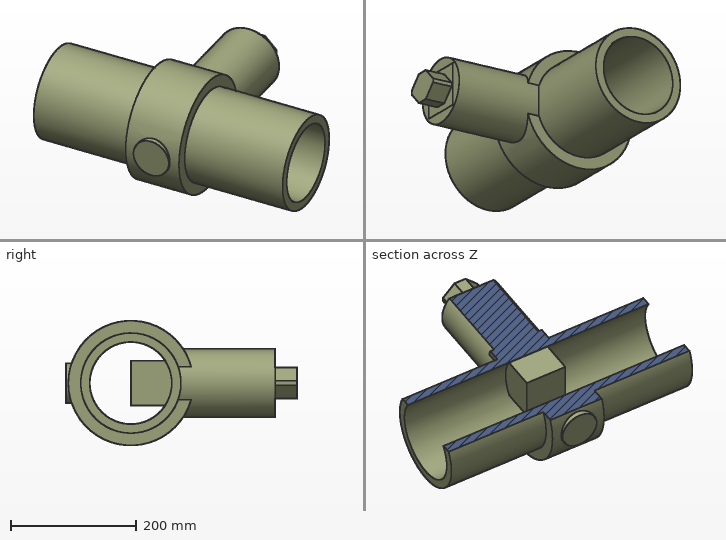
import cadquery as cq

pipe_length = 450.0
pipe_diameter = 160.0
bore_diameter = 131.0

collar_diameter = 200.0
collar_width = 96.5

branch_diameter = 110.0
branch_reach = 231.0
boss_diameter = 64.0
boss_reach = 104.0

bar_side = 72.0
head_width = boss_diameter
head_height = 50.0
head_chamfer = 21.5
head_reach = 266.0


def cylinder_along_x(diameter, length):
    """Cylinder on the X axis, centred on the origin."""
    return cq.Workplane("YZ").circle(diameter / 2).extrude(length / 2, both=True)


def cylinder_along_y(diameter, end):
    """Cylinder on the Y axis, from the origin to y = end."""
    return cq.Workplane("XZ").circle(diameter / 2).extrude(-end)


def make_bar():
    """Square bar from the pipe axis to the end of the branch."""
    return cq.Workplane("XZ").rect(bar_side, bar_side).extrude(-branch_reach)


def make_housing():
    """Pipe, collar, branch and boss, with the bore and the stem passage cut."""
    housing = cylinder_along_x(pipe_diameter, pipe_length)
    housing = housing.union(cylinder_along_x(collar_diameter, collar_width))
    housing = housing.union(cylinder_along_y(branch_diameter, branch_reach))
    housing = housing.union(cylinder_along_y(boss_diameter, -boss_reach))
    housing = housing.cut(cylinder_along_x(bore_diameter, pipe_length))
    return housing.cut(make_bar())


def make_stem():
    """Square bar with a chamfered rectangular head on the branch end."""
    head = (
        cq.Workplane("XZ", origin=(0, branch_reach, 0))
        .rect(head_width, head_height)
        .extrude(branch_reach - head_reach)
        .edges("|Y")
        .chamfer(head_chamfer)
    )
    return make_bar().union(head)


housing = make_housing()
stem = make_stem()

result = cq.Compound.makeCompound([housing.val(), stem.val()])